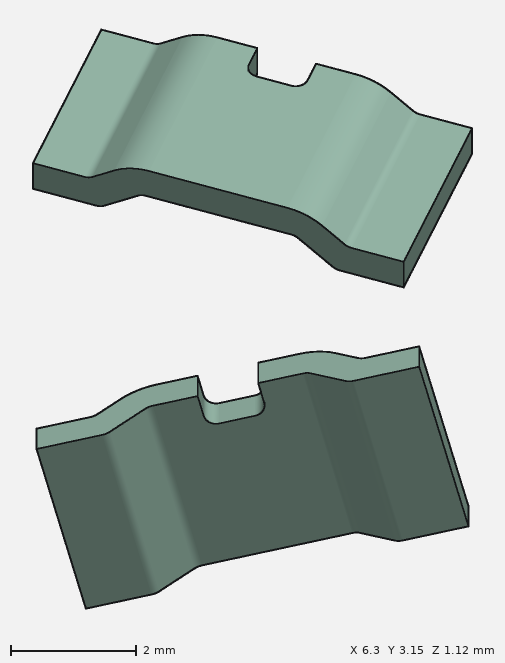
import cadquery as cq
import math

length = 6.3
width = 3.15
height = 1.12
thickness = 0.59

foot_bend = 0.95
crown_bend = 1.645

small_bend_radius = 0.2
crown_radius = 0.975

notch_width = 0.995
notch_depth = 0.59
notch_radius = 0.2

rise = height - thickness
slope_angle = math.atan2(rise, crown_bend - foot_bend)
corner_shift = thickness * math.tan(slope_angle / 2)


def half_line(foot_z, shift):
    """Sharp corners of one sheet surface on the left half, from end to crown."""
    return [
        (-length / 2, foot_z),
        (-length / 2 + foot_bend + shift, foot_z),
        (-length / 2 + crown_bend + shift, foot_z + rise),
    ]


def full_line(foot_z, shift):
    """Corners of one sheet surface from the left end to the right end."""
    left = half_line(foot_z, shift)
    return left + [(-x, z) for x, z in reversed(left)]


def make_strap():
    """Bent strap centred on X and Y, with rounded bends."""
    upper = full_line(thickness, 0)
    lower = full_line(0, corner_shift)
    strap = (
        cq.Workplane("XZ")
        .polyline(upper + lower[::-1])
        .close()
        .extrude(width / 2, both=True)
    )
    crown_x = length / 2 - crown_bend
    for side in (-1, 1):
        crown_edge = cq.selectors.NearestToPointSelector((side * crown_x, 0, height))
        strap = strap.edges(crown_edge).fillet(crown_radius)
    small_bends = [upper[1], upper[4]] + lower[1:5]
    for x, z in small_bends:
        bend_edge = cq.selectors.NearestToPointSelector((x, 0, z))
        strap = strap.edges("|Y").edges(bend_edge).fillet(small_bend_radius)
    return strap


def make_notch():
    """Cutter for the back notch, with rounded inner corners."""
    return (
        cq.Workplane("XY")
        .center(0, width / 2)
        .rect(notch_width, 2 * notch_depth)
        .extrude(height)
        .edges("|Z and <Y")
        .fillet(notch_radius)
    )


result = make_strap().cut(make_notch())